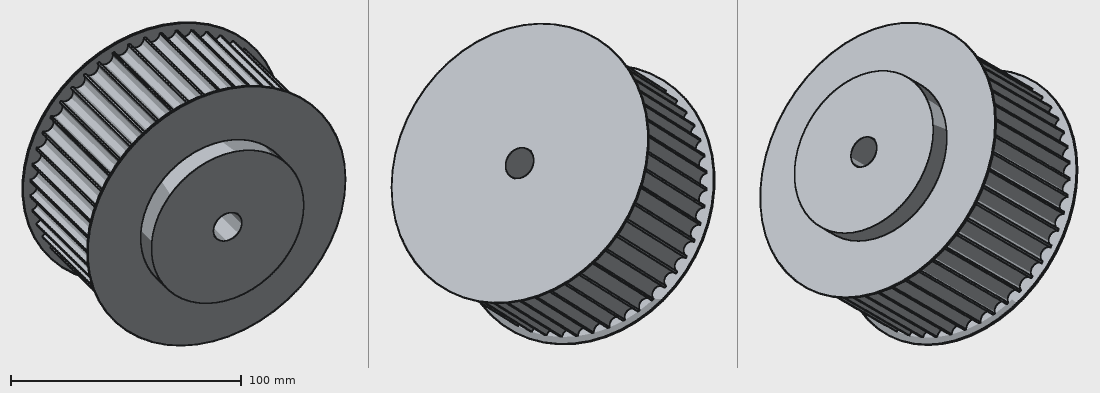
import cadquery as cq

total_length = 70.0
rim_length = 60.1
hub_diameter = 75.0
bore_diameter = 14.0

tooth_count = 48
tooth_tip_diameter = 120.9
groove_radius = 3.4

flange_diameter = 127.0
flange_thickness = 1.5
flange_edge_thickness = 1.0

track_length = rim_length - 2 * flange_thickness
hub_length = total_length - rim_length
tooth_tip_radius = tooth_tip_diameter / 2
flange_radius = flange_diameter / 2


def disc(diameter, start, length):
    """Solid cylinder along X, beginning at X = start."""
    return cq.Workplane("YZ", origin=(start, 0, 0)).circle(diameter / 2).extrude(length)


def toothed_track():
    """Cylinder with round grooves cut between the teeth, one groove centred on +Y."""
    blank = disc(tooth_tip_diameter, flange_thickness, track_length)
    grooves = (
        cq.Workplane("YZ", origin=(flange_thickness, 0, 0))
        .polarArray(tooth_tip_radius, 0, 360, tooth_count)
        .circle(groove_radius)
        .extrude(track_length)
    )
    return blank.cut(grooves)


def flange(outer_face, inward):
    """Flange bevelled on its inner side, from the tooth tips out to the edge.

    outer_face is its X position; inward is +1 or -1 along X.
    """
    inner_face = outer_face + inward * flange_thickness
    edge_face = outer_face + inward * flange_edge_thickness
    profile = (
        cq.Workplane("XY")
        .moveTo(outer_face, 0)
        .lineTo(outer_face, flange_radius)
        .lineTo(edge_face, flange_radius)
        .lineTo(inner_face, tooth_tip_radius)
        .lineTo(inner_face, 0)
        .close()
    )
    return profile.revolve(360, (0, 0, 0), (1, 0, 0))


left_flange = flange(0, 1)
right_flange = flange(rim_length, -1)
hub = disc(hub_diameter, rim_length, hub_length)
bore = disc(bore_diameter, 0, total_length)

result = toothed_track().union(left_flange).union(right_flange).union(hub).cut(bore)